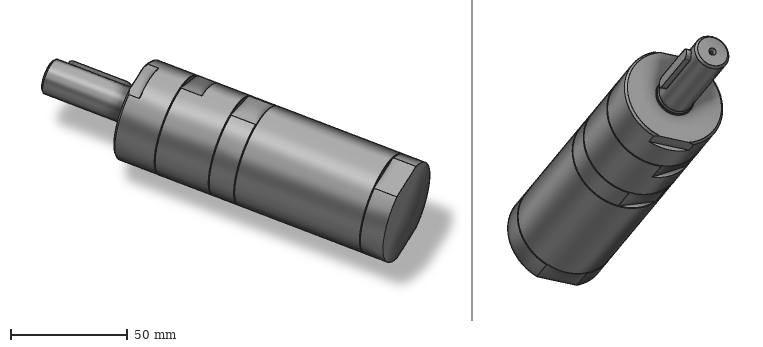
import cadquery as cq
import math

body_radius = 23.0
body_length = 129.5
front_chamfer = 1.0

shaft_radius = 8.0
shaft_length = 42.0
shaft_chamfer = 1.0
collar_radius = 8.75
collar_length = 1.0
shoulder_radius = 8.475
shoulder_length = 1.0

centre_mouth_radius = 1.675
centre_hole_radius = 0.8
centre_cone_angle = 60.0
centre_hole_depth = 4.0

key_length = 30.0
key_width = 5.0
key_top = 10.2
key_bottom = 5.0
key_end_gap = 4.7

front_joint = 20.1
ring_front_joint = 46.0
ring_rear_joint = 58.2
rear_joint = 118.5
groove_width = 0.5
groove_depth = 0.25

flat_distance = 21.0
front_flat_length = 6.0
middle_flat_length = 10.0
middle_flat_angle = -30.0
ring_flat_angle = -20.0


def make_shaft():
    """Shaft, conical shoulder and stepped collar, turned as one profile about X."""
    tip = -shaft_length
    collar_start = -collar_length
    shoulder_start = collar_start - shoulder_length
    overlap = front_chamfer
    profile = (
        cq.Workplane("XY")
        .moveTo(tip, 0)
        .lineTo(tip, shaft_radius - shaft_chamfer)
        .lineTo(tip + shaft_chamfer, shaft_radius)
        .lineTo(shoulder_start, shaft_radius)
        .lineTo(collar_start, shoulder_radius)
        .lineTo(collar_start, collar_radius)
        .lineTo(overlap, collar_radius)
        .lineTo(overlap, 0)
        .close()
    )
    return profile.revolve(360, (0, 0, 0), (1, 0, 0))


def make_body():
    """Plain cylinder with a chamfered front rim."""
    cylinder = cq.Workplane("YZ").circle(body_radius).extrude(body_length)
    return cylinder.faces("<X").chamfer(front_chamfer)


def make_groove(joint):
    """Ring of triangular section that cuts a V-groove centred on a joint."""
    section = cq.Workplane("XY").polyline([
        (joint - groove_width / 2, body_radius),
        (joint, body_radius - groove_depth),
        (joint + groove_width / 2, body_radius),
    ]).close()
    return section.revolve(360, (0, 0, 0), (1, 0, 0))


def make_flat_pair(start, end, angle):
    """Two opposite blocks beyond the flats, turned about X from the Z direction."""
    pair = cq.Workplane("XY")
    for side_angle in (angle, angle + 180):
        block = (
            cq.Workplane("XY")
            .box(end - start, 2 * body_radius, body_radius, centered=(False, True, False))
            .translate((start, 0, flat_distance))
            .rotate((0, 0, 0), (1, 0, 0), side_angle)
        )
        pair = pair.add(block)
    return pair.combine()


def make_key():
    """Round-ended key standing on the +Y side of the shaft."""
    key_centre = -shaft_length + key_end_gap + key_length / 2
    return (
        cq.Workplane("XZ", origin=(key_centre, key_bottom, 0))
        .slot2D(key_length, key_width)
        .extrude(key_bottom - key_top)
    )


def make_centre_drilling():
    """Conical mouth followed by a small pilot hole."""
    tip = -shaft_length
    half_angle = math.radians(centre_cone_angle / 2)
    cone_depth = (centre_mouth_radius - centre_hole_radius) / math.tan(half_angle)
    profile = (
        cq.Workplane("XY")
        .moveTo(tip, 0)
        .lineTo(tip, centre_mouth_radius)
        .lineTo(tip + cone_depth, centre_hole_radius)
        .lineTo(tip + centre_hole_depth, centre_hole_radius)
        .lineTo(tip + centre_hole_depth, 0)
        .close()
    )
    return profile.revolve(360, (0, 0, 0), (1, 0, 0))


result = make_body()

flat_pairs = [
    (0, front_flat_length, 0),
    (front_joint, front_joint + middle_flat_length, middle_flat_angle),
    (ring_front_joint, ring_rear_joint, ring_flat_angle),
    (rear_joint, body_length, 0),
]
for flat_start, flat_end, flat_angle in flat_pairs:
    result = result.cut(make_flat_pair(flat_start, flat_end, flat_angle))

for joint_position in (front_joint, ring_front_joint, ring_rear_joint, rear_joint):
    result = result.cut(make_groove(joint_position))

result = result.union(make_shaft()).union(make_key()).cut(make_centre_drilling())